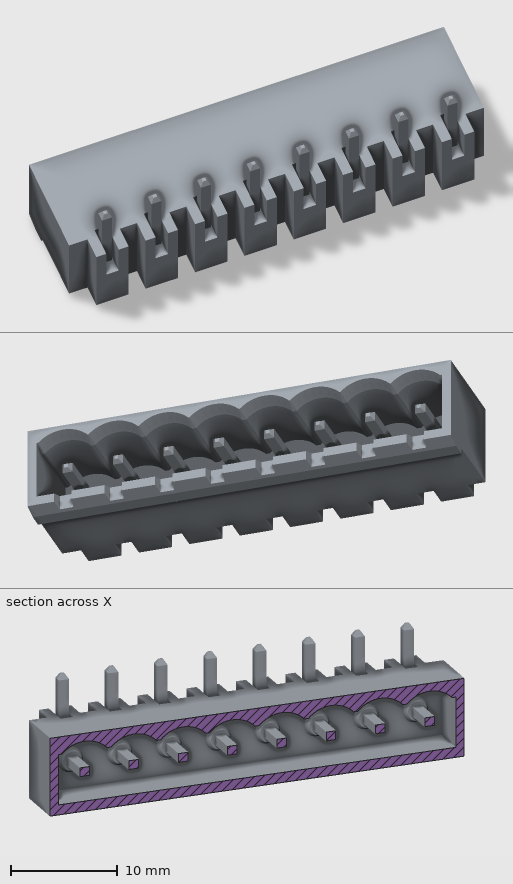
import cadquery as cq

LENGTH = 42.0
DEPTH = 12.2
TOTAL_HEIGHT = 12.5
HOUSING_TOP = 8.45
HOUSING_BOTTOM = 0.6
WALL = 0.9

CONTACT_COUNT = 8
PITCH = 5.0
PIN_WIDTH = 1.0
PIN_THICKNESS = 0.92
PIN_AXIS_Z = 4.58
PIN_FRONT_X = 0.9
LEG_FRONT_X = 9.9
TIP_LENGTH = 0.5
TIP_END_WIDTH = 0.38

TAB_START_X = 10.0
TAB_WIDTH = 3.28
SLOT_START_X = 9.25
SLOT_WIDTH = 1.25
SLOT_FLOOR_Z = PIN_AXIS_Z + PIN_THICKNESS / 2

LIP_FRONT_BOTTOM = 0.38
LIP_SLOPE_DEPTH = 1.5
LIP_DEPTH = 3.02
NOTCH_DEPTH = 1.1
NOTCH_FRONT_WIDTH = 1.72
NOTCH_BACK_WIDTH = 1.35

CAVITY_FLOOR_Z = 1.65
CUSP_Z = 6.65
CAVITY_END_X = SLOT_START_X - WALL
ARCH_TOP_Z = 7.6
ARCH_RADIUS = 3.2
LEAD_IN = 0.38
LEAD_IN_DEPTH = 1.5

COLLAR_BASE_RADIUS = 1.25
COLLAR_END_RADIUS = 0.95
COLLAR_HEIGHT = 0.5

FIRST_CONTACT_Y = -PITCH * (CONTACT_COUNT - 1) / 2
CONTACT_YS = [FIRST_CONTACT_Y + i * PITCH for i in range(CONTACT_COUNT)]


def box(x_range, y_range, z_range):
    """Axis-aligned block between the given limits."""
    (x0, x1), (y0, y1), (z0, z1) = x_range, y_range, z_range
    return cq.Workplane("XY").box(x1 - x0, y1 - y0, z1 - z0, centered=False).translate((x0, y0, z0))


def centred_box(x_range, y, width, z_range):
    """Block of the given width, centred on y."""
    return box(x_range, (y - width / 2, y + width / 2), z_range)


def housing_block():
    """Solid side profile, extruded over the full length."""
    profile = [
        (0, HOUSING_TOP),
        (0, LIP_FRONT_BOTTOM),
        (LIP_SLOPE_DEPTH, 0),
        (LIP_DEPTH, 0),
        (LIP_DEPTH, HOUSING_BOTTOM),
        (TAB_START_X, HOUSING_BOTTOM),
        (TAB_START_X, HOUSING_TOP),
    ]
    return cq.Workplane("XZ").polyline(profile).close().extrude(LENGTH / 2, both=True)


def arch_cutter(y):
    """Round cutter for one ceiling arch: a cylinder with a cone at the mouth."""
    axis_z = ARCH_TOP_Z - ARCH_RADIUS
    mouth_radius = ARCH_RADIUS + LEAD_IN
    profile = [
        (0, axis_z),
        (0, axis_z + mouth_radius),
        (LEAD_IN_DEPTH, ARCH_TOP_Z),
        (CAVITY_END_X, ARCH_TOP_Z),
        (CAVITY_END_X, axis_z),
    ]
    cutter = cq.Workplane("XZ").polyline(profile).close().revolve(360, (0, axis_z), (1, axis_z))
    return cutter.translate((0, y, 0))


def cavity():
    """Space behind the mouth: a box with sloped lead-ins and one arch over each contact."""
    inner_length = LENGTH - 2 * WALL
    profile = [
        (0, CUSP_Z + LEAD_IN),
        (0, CAVITY_FLOOR_Z - LEAD_IN),
        (LEAD_IN_DEPTH, CAVITY_FLOOR_Z),
        (CAVITY_END_X, CAVITY_FLOOR_Z),
        (CAVITY_END_X, CUSP_Z),
        (LEAD_IN_DEPTH, CUSP_Z),
    ]
    space = cq.Workplane("XZ").polyline(profile).close().extrude(inner_length / 2, both=True)
    arch_limits = centred_box((0, CAVITY_END_X), 0, inner_length, (PIN_AXIS_Z, HOUSING_TOP))
    for y in CONTACT_YS:
        space = space.union(arch_cutter(y).intersect(arch_limits))
    return space


def lip_notch(y):
    """Flared notch through the lip below one contact."""
    front = NOTCH_FRONT_WIDTH / 2
    back = NOTCH_BACK_WIDTH / 2
    outline = [(0, y - front), (NOTCH_DEPTH, y - back), (NOTCH_DEPTH, y + back), (0, y + front)]
    return cq.Workplane("XY").polyline(outline).close().extrude(PIN_AXIS_Z)


def collar(y):
    """Cone on the back wall of the cavity, round one contact."""
    base = cq.Workplane("YZ", origin=(CAVITY_END_X, y, PIN_AXIS_Z)).circle(COLLAR_BASE_RADIUS)
    return base.workplane(offset=-COLLAR_HEIGHT).circle(COLLAR_END_RADIUS).loft(combine=True)


def pin_tip(base_plane):
    """Blunt pyramid rising from the given plane."""
    base = cq.Workplane(base_plane).rect(PIN_WIDTH, PIN_THICKNESS)
    return base.workplane(offset=TIP_LENGTH).rect(TIP_END_WIDTH, TIP_END_WIDTH).loft(combine=True)


def contact(y):
    """Right-angle pin with a blunt tip at both ends."""
    half = PIN_THICKNESS / 2
    leg_end_x = LEG_FRONT_X + PIN_THICKNESS
    arm_start_x = PIN_FRONT_X + TIP_LENGTH
    leg_top = TOTAL_HEIGHT - TIP_LENGTH
    arm = centred_box((arm_start_x, leg_end_x), y, PIN_WIDTH, (PIN_AXIS_Z - half, PIN_AXIS_Z + half))
    leg = centred_box((LEG_FRONT_X, leg_end_x), y, PIN_WIDTH, (PIN_AXIS_Z - half, leg_top))
    arm_tip = pin_tip(cq.Plane((arm_start_x, y, PIN_AXIS_Z), (0, 1, 0), (-1, 0, 0)))
    leg_tip = pin_tip(cq.Plane((LEG_FRONT_X + half, y, leg_top), (0, 1, 0), (0, 0, 1)))
    return arm.union(leg).union(arm_tip).union(leg_tip)


result = housing_block().cut(cavity())
for contact_y in CONTACT_YS:
    tab = centred_box((TAB_START_X, DEPTH), contact_y, TAB_WIDTH, (HOUSING_BOTTOM, HOUSING_TOP))
    slot = centred_box((SLOT_START_X, DEPTH), contact_y, SLOT_WIDTH, (SLOT_FLOOR_Z, HOUSING_TOP))
    result = result.union(tab).cut(slot).cut(lip_notch(contact_y))
    result = result.union(collar(contact_y)).union(contact(contact_y))